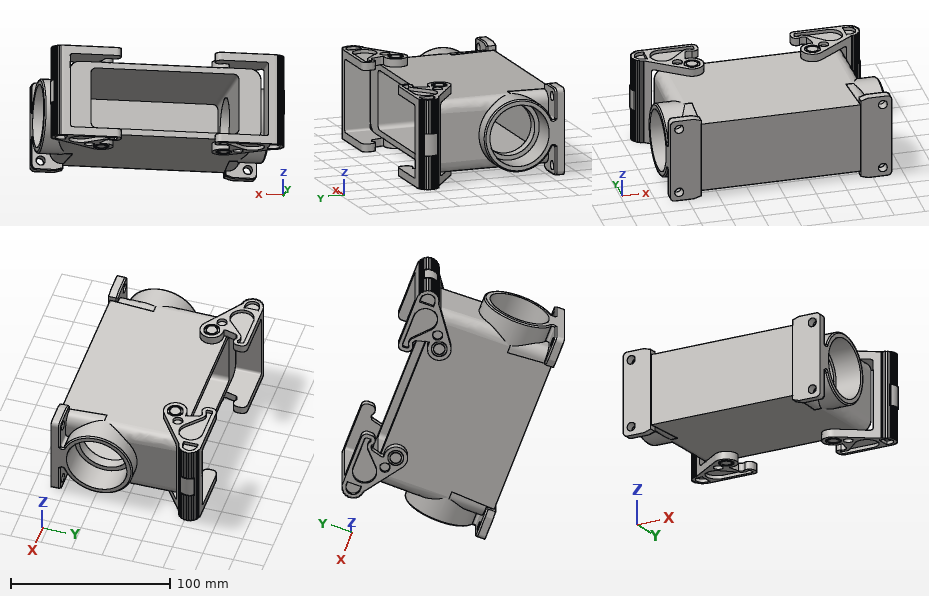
import cadquery as cq
import math

TOTAL_LENGTH = 149.1
TOTAL_DEPTH = 96.9
TOTAL_HEIGHT = 58.0
HALF_LENGTH = TOTAL_LENGTH / 2
HALF_HEIGHT = TOTAL_HEIGHT / 2

BODY_BACK = 1.0
BODY_FRONT = 80.7
BODY_FRONT_HALF_X = 61.3
BODY_FRONT_HALF_Z = 23.3
BODY_BACK_HALF_Z = 23.5
SIDE_DRAFT = 1.5
CORNER_RADIUS = 7.2
BASE_HALF_X = 60.2
PAD_HALF_Z = 23.7
PAD_INNER_TOP = 50.0
PAD_INNER_BOTTOM = 51.7
WALL = 3.9
CAVITY_HALF_X = 47.1

ENTRY_Y = 30.1
ENTRY_RADIUS = 23.4
ENTRY_FACE_X = 71.9
ENTRY_CHAMFER = 0.9
ENTRY_BEVEL = 45.0
ENTRY_ROOT_X = 52.2
COUNTERBORE_RADIUS = 19.8
COUNTERBORE_DEPTH = 17.9
BORE_RADIUS = 16.8

FOOT_INNER_X = PAD_INNER_BOTTOM
FOOT_THICKNESS = 6.3
FOOT_HALF_Z = 28.2
FOOT_CORNER_RADIUS = 3.0
FOOT_CHAMFER_X = 4.8
FOOT_CHAMFER_Z = 1.5
FOOT_RIM = 1.2
FOOT_RIM_TAPER = 20.0
FOOT_HOLE_X = 66.0
FOOT_HOLE_Z = 22.4
FOOT_HOLE_RADIUS = 2.8
NOTCH_RADIUS = 1.2

ARM_THICKNESS = 5.2
PIVOT_X, PIVOT_Y = 39.0, 71.7
PIVOT_RADIUS = 7.5
PIN_RADIUS = 3.6
PIN_RING_RADIUS = 4.9
PIN_RING_DEPTH = 0.9
GRIP_RADIUS = 7.2
LABEL_THICKNESS = 0.5
GRIP_X = HALF_LENGTH - LABEL_THICKNESS - GRIP_RADIUS
GRIP_Y = TOTAL_DEPTH - GRIP_RADIUS
ARM_SLOPE = 35.4
HOOK_TIP_X = 30.1
HOOK_RADIUS = 3.6
HOOK_LOWER_Y = 91.2
HOOK_TIP_END = 290.0
CATCH_TOP = (37.3, 88.7)
CATCH_END = (39.4, 87.4)
THROAT_X, THROAT_Y = 41.2, 80.8
POCKET_RIM = 2.5
POCKET_CATCH_TOP = (36.8, 91.2)
POCKET_CATCH_END = (40.0, 90.0)
POCKET_TANGENT = 226.0
POCKET_DEPTH = 2.2
POCKET_X, POCKET_Y = 54.5, 86.8
D_POCKET_RADIUS = 4.6
D_POCKET_FLAT_X = 64.5
SMALL_HOLE_X, SMALL_HOLE_Y = 47.4, 75.9
SMALL_HOLE_RADIUS = 3.1
WINDOW_HALF_X = 63.2
WINDOW_CORNER_RADIUS = 1.6
SERRATION_DEPTH = 0.3
SERRATION_ANGLE = 9.0
SERRATION_START = -81.0
SERRATION_COUNT = 9
LABEL_HALF_Z = 7.2
LABEL_HALF_Y = 4.5


def box(x0, x1, y0, y1, z0, z1):
    return cq.Workplane("XY").box(x1 - x0, y1 - y0, z1 - z0, centered=False).translate((x0, y0, z0))


def both_sides(shape):
    """The shape together with its mirror image about X = 0."""
    return shape.union(shape.mirror("YZ"))


def polar(x, y, radius, angle):
    """Point at an angle in degrees on a circle about (x, y)."""
    return (x + radius * math.cos(math.radians(angle)), y + radius * math.sin(math.radians(angle)))


def cylinder_x(y, z, radius, x0, x1):
    return cq.Workplane("YZ", origin=(x0, 0, 0)).center(y, z).circle(radius).extrude(x1 - x0)


def drafted_body():
    """Body with slightly drafted walls; its ends are cut back below the step."""
    back_half_x = BODY_FRONT_HALF_X + SIDE_DRAFT
    back_radius = CORNER_RADIUS + SIDE_DRAFT
    front = cq.Sketch().rect(2 * BODY_FRONT_HALF_X, 2 * BODY_FRONT_HALF_Z).vertices().fillet(CORNER_RADIUS)
    back = cq.Sketch().rect(2 * back_half_x, 2 * BODY_BACK_HALF_Z).vertices().fillet(back_radius)
    rise = cq.Location(cq.Vector(0, 0, BODY_BACK - BODY_FRONT))
    body = cq.Workplane("XZ", origin=(0, BODY_BACK, 0)).placeSketch(back, front.moved(rise)).loft()
    cut_back = box(PAD_INNER_BOTTOM, HALF_LENGTH, 0, ENTRY_Y, -HALF_HEIGHT, HALF_HEIGHT)
    return body.cut(both_sides(cut_back))


def corner_pads():
    """Stretch next to the feet, slightly raised above the drafted faces."""
    pads = box(-BASE_HALF_X, BASE_HALF_X, BODY_BACK, ENTRY_Y, -PAD_HALF_Z, PAD_HALF_Z)
    pads = pads.edges("|Y").fillet(CORNER_RADIUS)
    zone_outline = [
        (PAD_INNER_BOTTOM, BODY_BACK),
        (PAD_INNER_TOP, ENTRY_Y),
        (BASE_HALF_X, ENTRY_Y),
        (BASE_HALF_X, BODY_BACK),
    ]
    zone = cq.Workplane("XY").polyline(zone_outline).close().extrude(HALF_HEIGHT, both=True)
    return pads.intersect(both_sides(zone))


def foot():
    """Plate with rounded outer and chamfered inner corners, its top rim slightly bevelled."""
    rim_y = FOOT_THICKNESS - FOOT_RIM
    plate = box(FOOT_INNER_X, ENTRY_FACE_X, 0, rim_y, -FOOT_HALF_Z, FOOT_HALF_Z)
    plate = plate.edges("|Y and >X").fillet(FOOT_CORNER_RADIUS)
    for side in (1, -1):
        corner = [
            (FOOT_INNER_X, side * FOOT_HALF_Z),
            (FOOT_INNER_X + FOOT_CHAMFER_X, side * FOOT_HALF_Z),
            (FOOT_INNER_X, side * (FOOT_HALF_Z - FOOT_CHAMFER_Z)),
        ]
        plate = plate.cut(cq.Workplane("XZ").polyline(corner).close().extrude(-rim_y))
    plate = plate.faces(">Y").wires().toPending().workplane().extrude(FOOT_RIM, taper=FOOT_RIM_TAPER)
    holes = cq.Workplane("XZ").pushPoints([(FOOT_HOLE_X, FOOT_HOLE_Z), (FOOT_HOLE_X, -FOOT_HOLE_Z)])
    return plate.cut(holes.circle(FOOT_HOLE_RADIUS).extrude(-FOOT_THICKNESS))


def cable_entry():
    """Tube joined to its foot by a web whose sides are round notches tangent to both."""
    shoulder_x = ENTRY_FACE_X - ENTRY_CHAMFER
    tube = cylinder_x(ENTRY_Y, 0, ENTRY_RADIUS, ENTRY_ROOT_X, shoulder_x)
    notch_y = FOOT_THICKNESS + NOTCH_RADIUS
    notch_z = math.sqrt((ENTRY_RADIUS + NOTCH_RADIUS) ** 2 - (ENTRY_Y - notch_y) ** 2)
    web = box(ENTRY_ROOT_X, shoulder_x, 0, ENTRY_Y - ENTRY_RADIUS + 2 * NOTCH_RADIUS, -notch_z, notch_z)
    for side in (1, -1):
        web = web.cut(cylinder_x(notch_y, side * notch_z, NOTCH_RADIUS, ENTRY_ROOT_X, shoulder_x))
    entry = tube.union(web)
    return entry.faces(">X").wires().toPending().workplane().extrude(ENTRY_CHAMFER, taper=ENTRY_BEVEL)


def housing():
    solid = drafted_body().union(corner_pads()).union(both_sides(foot().union(cable_entry())))
    half_z = BODY_FRONT_HALF_Z - WALL
    floor_y = BODY_BACK + WALL
    cavity = box(-CAVITY_HALF_X, CAVITY_HALF_X, floor_y, BODY_FRONT, -half_z, half_z)
    cavity = cavity.edges("|Y").fillet(CORNER_RADIUS - WALL)
    bore = cylinder_x(ENTRY_Y, 0, BORE_RADIUS, -HALF_LENGTH, HALF_LENGTH)
    counterbore = cylinder_x(
        ENTRY_Y, 0, COUNTERBORE_RADIUS, ENTRY_FACE_X - COUNTERBORE_DEPTH, ENTRY_FACE_X
    )
    return solid.cut(cavity).cut(bore).cut(both_sides(counterbore))


def lever_outline():
    """Side plate seen along Z: grip round, hook, pivot round and straight lower edge."""
    hook_x = HOOK_TIP_X + HOOK_RADIUS
    hook_upper_y = TOTAL_DEPTH - HOOK_RADIUS
    slope = math.radians(ARM_SLOPE)
    edge_start = polar(PIVOT_X, PIVOT_Y, PIVOT_RADIUS, ARM_SLOPE - 90)
    offset = (GRIP_Y - edge_start[1]) * math.cos(slope) - (GRIP_X - edge_start[0]) * math.sin(slope)
    edge_end_angle = ARM_SLOPE - 90 - math.degrees(math.acos(offset / GRIP_RADIUS))
    pivot_top = PIVOT_Y + PIVOT_RADIUS
    return (
        cq.Workplane("XY", origin=(0, 0, -HALF_HEIGHT))
        .moveTo(GRIP_X, TOTAL_DEPTH)
        .lineTo(hook_x, TOTAL_DEPTH)
        .threePointArc(polar(hook_x, hook_upper_y, HOOK_RADIUS, 135), (HOOK_TIP_X, hook_upper_y))
        .lineTo(HOOK_TIP_X, HOOK_LOWER_Y)
        .threePointArc(
            polar(hook_x, HOOK_LOWER_Y, HOOK_RADIUS, (180 + HOOK_TIP_END) / 2),
            polar(hook_x, HOOK_LOWER_Y, HOOK_RADIUS, HOOK_TIP_END),
        )
        .threePointArc(CATCH_TOP, CATCH_END)
        .lineTo(THROAT_X, THROAT_Y)
        .lineTo(THROAT_X, pivot_top)
        .lineTo(PIVOT_X, pivot_top)
        .threePointArc((PIVOT_X - PIVOT_RADIUS, PIVOT_Y), edge_start)
        .lineTo(*polar(GRIP_X, GRIP_Y, GRIP_RADIUS, edge_end_angle))
        .threePointArc((GRIP_X + GRIP_RADIUS, GRIP_Y), (GRIP_X, TOTAL_DEPTH))
        .close()
    )


def pocket_outline():
    """Recess following the hook and widening into a round near the grip."""
    radius = HOOK_RADIUS - POCKET_RIM
    top = TOTAL_DEPTH - POCKET_RIM
    round_radius = top - POCKET_Y
    hook_x = HOOK_TIP_X + HOOK_RADIUS
    tip_x = HOOK_TIP_X + POCKET_RIM
    return (
        cq.Workplane("XY")
        .moveTo(POCKET_X, top)
        .lineTo(hook_x, top)
        .threePointArc(polar(hook_x, top - radius, radius, 135), (tip_x, top - radius))
        .lineTo(tip_x, HOOK_LOWER_Y)
        .threePointArc(
            polar(hook_x, HOOK_LOWER_Y, radius, (180 + HOOK_TIP_END) / 2),
            polar(hook_x, HOOK_LOWER_Y, radius, HOOK_TIP_END),
        )
        .threePointArc(POCKET_CATCH_TOP, POCKET_CATCH_END)
        .lineTo(*polar(POCKET_X, POCKET_Y, round_radius, POCKET_TANGENT))
        .threePointArc((POCKET_X + round_radius, POCKET_Y), (POCKET_X, top))
        .close()
    )


def d_pocket_outline():
    return (
        cq.Workplane("XY")
        .moveTo(D_POCKET_FLAT_X, GRIP_Y - D_POCKET_RADIUS)
        .lineTo(GRIP_X, GRIP_Y - D_POCKET_RADIUS)
        .threePointArc((GRIP_X + D_POCKET_RADIUS, GRIP_Y), (GRIP_X, GRIP_Y + D_POCKET_RADIUS))
        .lineTo(D_POCKET_FLAT_X, GRIP_Y + D_POCKET_RADIUS)
        .close()
    )


def arm_recesses():
    """Recesses in the outer face of one arm, at +Z."""
    small_hole = cq.Workplane("XY").center(SMALL_HOLE_X, SMALL_HOLE_Y).circle(SMALL_HOLE_RADIUS)
    ring = cq.Workplane("XY").center(PIVOT_X, PIVOT_Y).circle(PIN_RING_RADIUS).circle(PIN_RADIUS)
    recesses = ring.extrude(PIN_RING_DEPTH).translate((0, 0, HALF_HEIGHT - PIN_RING_DEPTH))
    for outline in (pocket_outline(), d_pocket_outline(), small_hole):
        recesses = recesses.union(
            outline.extrude(POCKET_DEPTH).translate((0, 0, HALF_HEIGHT - POCKET_DEPTH))
        )
    return recesses


def serration(start):
    """Shallow groove along the grip, from the given angle over one groove width."""
    middle = start + SERRATION_ANGLE / 2
    end = start + SERRATION_ANGLE
    inner = GRIP_RADIUS - SERRATION_DEPTH
    outer = GRIP_RADIUS + SERRATION_DEPTH
    return (
        cq.Workplane("XY", origin=(0, 0, -HALF_HEIGHT))
        .moveTo(*polar(GRIP_X, GRIP_Y, inner, start))
        .threePointArc(polar(GRIP_X, GRIP_Y, inner, middle), polar(GRIP_X, GRIP_Y, inner, end))
        .lineTo(*polar(GRIP_X, GRIP_Y, outer, end))
        .threePointArc(polar(GRIP_X, GRIP_Y, outer, middle), polar(GRIP_X, GRIP_Y, outer, start))
        .close()
        .extrude(TOTAL_HEIGHT)
    )


def lever():
    plate = lever_outline().extrude(TOTAL_HEIGHT)
    window_half_z = HALF_HEIGHT - ARM_THICKNESS
    window = box(0, WINDOW_HALF_X, 0, TOTAL_DEPTH, -window_half_z, window_half_z)
    plate = plate.cut(window.edges("|Y and >X").fillet(WINDOW_CORNER_RADIUS))

    for i in range(SERRATION_COUNT):
        plate = plate.cut(serration(SERRATION_START + 2 * i * SERRATION_ANGLE))

    label = cq.Workplane("XY", origin=(0, 0, -LABEL_HALF_Z)).center(GRIP_X, GRIP_Y)
    label = label.circle(GRIP_RADIUS + LABEL_THICKNESS).extrude(2 * LABEL_HALF_Z)
    label_zone = box(
        GRIP_X, HALF_LENGTH, GRIP_Y - LABEL_HALF_Y, GRIP_Y + LABEL_HALF_Y, -LABEL_HALF_Z, LABEL_HALF_Z
    )
    plate = plate.union(label.intersect(label_zone))

    recesses = arm_recesses()
    plate = plate.cut(recesses).cut(recesses.mirror("XY"))
    pin_inner = BODY_FRONT_HALF_Z - WALL / 2
    pin = cq.Workplane("XY", origin=(PIVOT_X, PIVOT_Y, pin_inner)).circle(PIN_RADIUS)
    pin = pin.extrude(HALF_HEIGHT - pin_inner)
    return plate.union(pin).union(pin.mirror("XY"))


result = housing().union(both_sides(lever()))